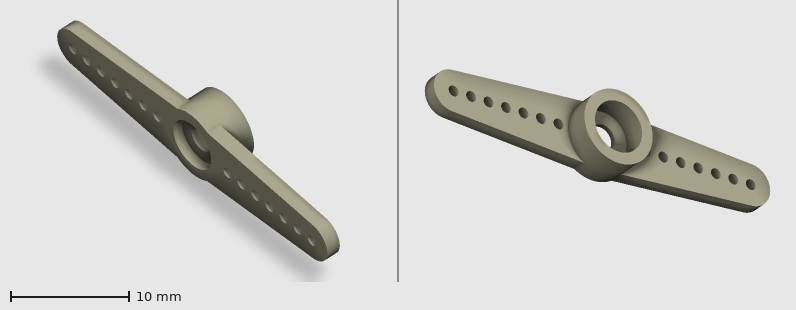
import cadquery as cq

length = 34.4
hub_diameter = 7.0
hub_depth = 3.9
arm_thickness = 1.4
tip_radius = 2.0
root_x = 1.9
socket_diameter = 4.8
front_socket_depth = 1.0
web_thickness = 0.5
screw_hole_diameter = 2.4
small_hole_diameter = 1.0
holes_per_arm = 7
hole_pitch = 1.8

rear_socket_depth = hub_depth - front_socket_depth - web_thickness
hub_radius = hub_diameter / 2
tip_center_x = length / 2 - tip_radius
root_half_height = (hub_radius**2 - root_x**2) ** 0.5


def front_cylinder(x, diameter, depth):
    """Cylinder from the front face (Y = 0) toward +Y, centred at x."""
    return cq.Workplane("XZ").center(x, 0).circle(diameter / 2).extrude(-depth)


def make_arms():
    """Flat double arm, tapering from the hub to rounded tips."""
    return (
        cq.Workplane("XZ")
        .moveTo(-tip_center_x, tip_radius)
        .lineTo(-root_x, root_half_height)
        .lineTo(root_x, root_half_height)
        .lineTo(tip_center_x, tip_radius)
        .threePointArc((length / 2, 0), (tip_center_x, -tip_radius))
        .lineTo(root_x, -root_half_height)
        .lineTo(-root_x, -root_half_height)
        .lineTo(-tip_center_x, -tip_radius)
        .threePointArc((-length / 2, 0), (-tip_center_x, tip_radius))
        .close()
        .extrude(-arm_thickness)
    )


result = make_arms().union(front_cylinder(0, hub_diameter, hub_depth))

front_socket = front_cylinder(0, socket_diameter, front_socket_depth)
rear_socket = front_cylinder(0, socket_diameter, rear_socket_depth).translate(
    (0, hub_depth - rear_socket_depth, 0)
)
screw_hole = front_cylinder(0, screw_hole_diameter, hub_depth)
result = result.cut(front_socket).cut(rear_socket).cut(screw_hole)

for side in (-1, 1):
    for index in range(holes_per_arm):
        hole_x = side * (tip_center_x - index * hole_pitch)
        result = result.cut(front_cylinder(hole_x, small_hole_diameter, arm_thickness))